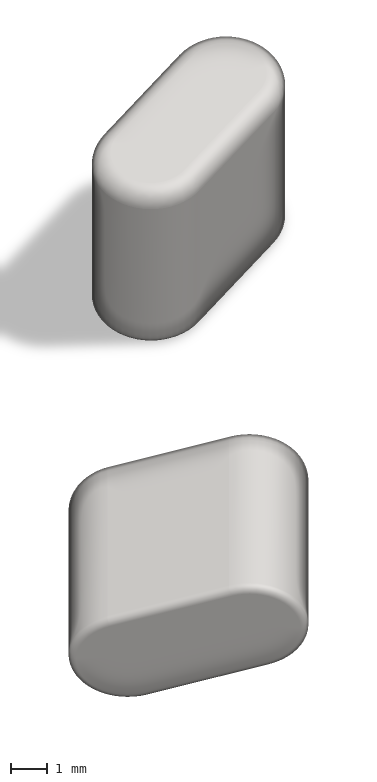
import cadquery as cq

width = 3.2
length = 6.7
height = 6.0

top_fillet = 0.5
bottom_fillet = 0.2

block = cq.Workplane("XY").slot2D(length, width, angle=90).extrude(height)

result = block.faces(">Z").edges().fillet(top_fillet)
result = result.faces("<Z").edges().fillet(bottom_fillet)